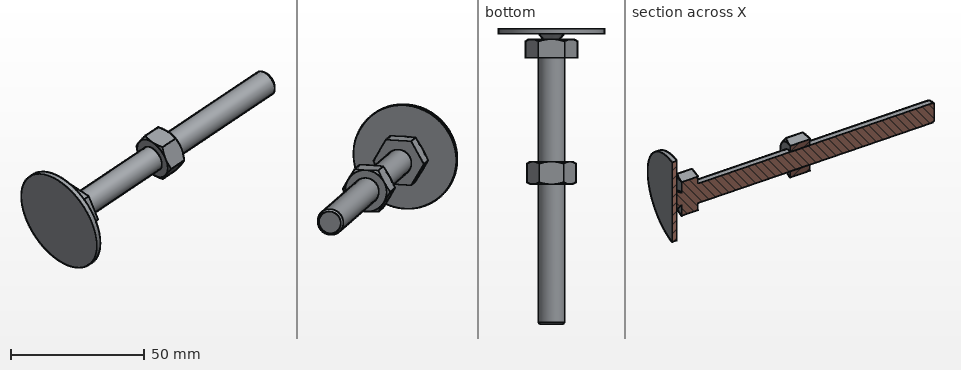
import cadquery as cq
import math

OVERALL_LENGTH = 111.0
PAD_DIAMETER = 40.0
PAD_THICKNESS = 2.0

NECK_LENGTH = 2.0
NECK_PAD_DIAMETER = 9.5
NECK_HEAD_DIAMETER = 6.2

HEAD_WIDTH = 17.0
HEAD_HEIGHT = 7.0
ROD_DIAMETER = 10.0
ROD_CHAMFER = 0.8

NUT_WIDTH = 16.0
NUT_HEIGHT = 8.4
NUT_GAP = 50.0

CORNER_ANGLE = 30.0
HEX_HALF_ANGLE = 30.0

pad_face_y = -OVERALL_LENGTH / 2
neck_y = pad_face_y + PAD_THICKNESS
head_y = neck_y + NECK_LENGTH
rod_y = head_y + HEAD_HEIGHT
rod_end_y = pad_face_y + OVERALL_LENGTH
nut_y = pad_face_y + NUT_GAP


def cylinder(diameter, y, length):
    """Cylinder along +Y that starts at y."""
    plane = cq.Workplane("XZ", origin=(0, y, 0))
    return plane.circle(diameter / 2).extrude(-length)


def corner_cone(width, y, height, far_end):
    """Turned envelope that chamfers hexagon corners at the near end, and at the far end if asked."""
    face_radius = width / 2
    corner_radius = face_radius / math.cos(math.radians(HEX_HALF_ANGLE))
    drop = (corner_radius - face_radius) * math.tan(math.radians(CORNER_ANGLE))
    profile = cq.Workplane("XY").moveTo(0, y).lineTo(face_radius, y).lineTo(corner_radius, y + drop)
    if far_end:
        profile = profile.lineTo(corner_radius, y + height - drop).lineTo(face_radius, y + height)
    else:
        profile = profile.lineTo(corner_radius, y + height)
    profile = profile.lineTo(0, y + height).close()
    return profile.revolve(360, (0, 0, 0), (0, 1, 0))


def hexagon(width, y, height, chamfer_far_end):
    """Hexagonal prism along +Y with two corners on the X axis and chamfered corners."""
    corner_diameter = width / math.cos(math.radians(HEX_HALF_ANGLE))
    prism = cq.Workplane("XZ", origin=(0, y, 0)).polygon(6, corner_diameter).extrude(-height)
    return prism.intersect(corner_cone(width, y, height, chamfer_far_end))


def make_pad():
    """Plain round foot plate."""
    return cylinder(PAD_DIAMETER, pad_face_y, PAD_THICKNESS)


def make_stud():
    """Rod with a hexagonal head and a conical neck that stands on the pad."""
    neck = (
        cq.Workplane("XY")
        .moveTo(0, neck_y)
        .lineTo(NECK_PAD_DIAMETER / 2, neck_y)
        .lineTo(NECK_HEAD_DIAMETER / 2, head_y)
        .lineTo(0, head_y)
        .close()
        .revolve(360, (0, 0, 0), (0, 1, 0))
    )
    head = hexagon(HEAD_WIDTH, head_y, HEAD_HEIGHT, chamfer_far_end=False)
    rod = cylinder(ROD_DIAMETER, rod_y, rod_end_y - rod_y).faces(">Y").chamfer(ROD_CHAMFER)
    return neck.union(head).union(rod)


def make_nut():
    """Hexagonal lock nut with a bore that fits the rod."""
    blank = hexagon(NUT_WIDTH, nut_y, NUT_HEIGHT, chamfer_far_end=True)
    return blank.cut(cylinder(ROD_DIAMETER, nut_y, NUT_HEIGHT))


pad = make_pad()
stud = make_stud()
nut = make_nut()

result = cq.Compound.makeCompound([pad.val(), stud.val(), nut.val()])